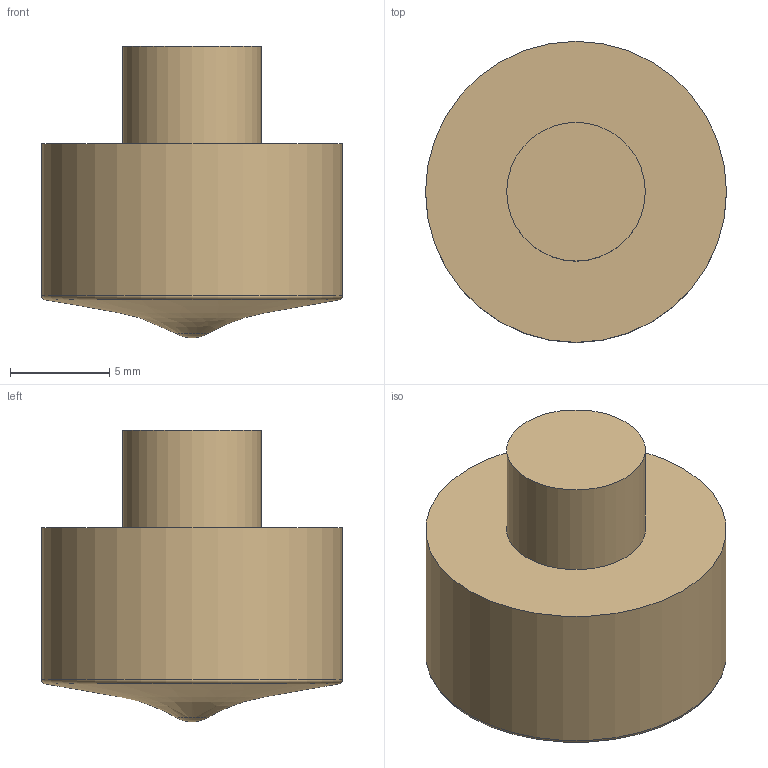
import cadquery as cq
import math

total_height = 14.73
pin_diameter = 7.0
pin_length = 4.93
body_diameter = 15.2
rim_fillet_radius = 0.2

tip_radius = 1.6
tip_edge_angle = math.radians(30.0)
flare_radius = 8.8
cone_angle = math.radians(10.0)

pin_radius = pin_diameter / 2
body_radius = body_diameter / 2
body_top = total_height - pin_length


def tip_point(angle):
    """Radius and height on the convex tip where its slope equals angle."""
    return (tip_radius * math.sin(angle), tip_radius * (1 - math.cos(angle)))


tip_edge = tip_point(tip_edge_angle)


def flare_point(angle):
    """Radius and height on the concave flare where its slope equals angle."""
    radius = tip_edge[0] + flare_radius * (math.sin(tip_edge_angle) - math.sin(angle))
    height = tip_edge[1] + flare_radius * (math.cos(angle) - math.cos(tip_edge_angle))
    return (radius, height)


flare_edge = flare_point(cone_angle)
corner_height = flare_edge[1] + (body_radius - flare_edge[0]) * math.tan(cone_angle)
rim_center_radius = body_radius - rim_fillet_radius
rim_center_height = corner_height + rim_fillet_radius * math.tan((math.pi / 2 - cone_angle) / 2)


def rim_point(angle):
    """Radius and height on the rounded lower rim where its slope equals angle."""
    radius = rim_center_radius + rim_fillet_radius * math.sin(angle)
    height = rim_center_height - rim_fillet_radius * math.cos(angle)
    return (radius, height)


def make_body():
    """Revolve the body and its nose about Z."""
    profile = (
        cq.Workplane("XZ")
        .threePointArc(tip_point(tip_edge_angle / 2), tip_edge)
        .threePointArc(flare_point((tip_edge_angle + cone_angle) / 2), flare_edge)
        .lineTo(*rim_point(cone_angle))
        .threePointArc(rim_point((cone_angle + math.pi / 2) / 2), rim_point(math.pi / 2))
        .lineTo(body_radius, body_top)
        .lineTo(0, body_top)
        .close()
    )
    return profile.revolve(360, (0, 0, 0), (0, 1, 0))


def make_pin():
    """Cylindrical pin standing on the flat top of the body."""
    return cq.Workplane("XY").workplane(offset=body_top).circle(pin_radius).extrude(pin_length)


result = make_body().union(make_pin())